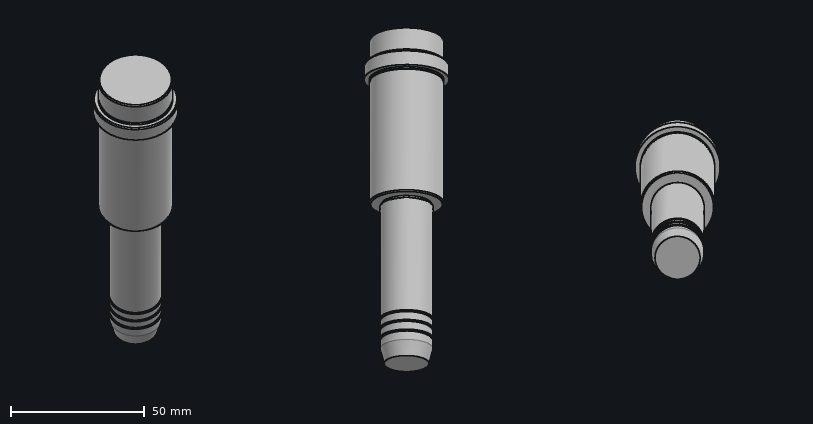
import cadquery as cq

total_height = 130.0
head_height = 10.0
collar_height = 6.0
body_bottom = 64.0
collar_top = total_height - head_height
collar_bottom = collar_top - collar_height

collar_radius = 16.0
body_radius = 13.98
pin_radius = 10.0
tip_radius = 8.5

edge_chamfer = 0.5
tip_taper_height = 6.0

collar_relief_width = 1.0
collar_relief_depth = 0.4
neck_height = 1.0
neck_depth = 0.6
neck_bottom = body_bottom - neck_height
neck_radius = pin_radius - neck_depth

ring_count = 3
ring_pitch = 3.9
ring_width = 0.6
ring_depth = 0.3
lowest_ring_bottom = 9.4

groove_clearance = 1.3


def cylinder(radius, bottom, top):
    return cq.Workplane("XY").workplane(offset=bottom).circle(radius).extrude(top - bottom)


def square_groove(radius, depth, bottom, width):
    """Ring with a rectangular section to remove from a cylinder of the given radius."""
    ring = cq.Workplane("XY").workplane(offset=bottom)
    return ring.circle(radius + groove_clearance).circle(radius - depth).extrude(width)


def v_groove(radius, depth, bottom, width):
    """Ring with a V section to remove from a cylinder of the given radius."""
    middle = bottom + width / 2
    section = cq.Workplane("XZ").polyline(
        [
            (radius + groove_clearance, bottom),
            (radius, bottom),
            (radius - depth, middle),
            (radius, bottom + width),
            (radius + groove_clearance, bottom + width),
        ]
    )
    return section.close().revolve(360, (0, 0), (0, 1))


def make_pin():
    pin = (
        cq.Workplane("XZ")
        .moveTo(0, 0)
        .lineTo(tip_radius, 0)
        .lineTo(pin_radius, tip_taper_height)
        .lineTo(pin_radius, neck_bottom)
        .lineTo(neck_radius, neck_bottom)
        .lineTo(neck_radius, body_bottom)
        .lineTo(0, body_bottom)
        .close()
        .revolve(360, (0, 0), (0, 1))
    )
    for index in range(ring_count):
        ring_bottom = lowest_ring_bottom + index * ring_pitch
        pin = pin.cut(square_groove(pin_radius, ring_depth, ring_bottom, ring_width))
    return pin


def make_body():
    body = cylinder(body_radius, body_bottom, total_height)
    body = body.faces("<Z or >Z").chamfer(edge_chamfer)
    for relief_bottom in (collar_top, collar_bottom - collar_relief_width):
        body = body.cut(
            v_groove(body_radius, collar_relief_depth, relief_bottom, collar_relief_width)
        )
    return body


def make_collar():
    collar = cylinder(collar_radius, collar_bottom, collar_top)
    return collar.faces(">Z").chamfer(edge_chamfer)


result = make_pin().union(make_body()).union(make_collar())